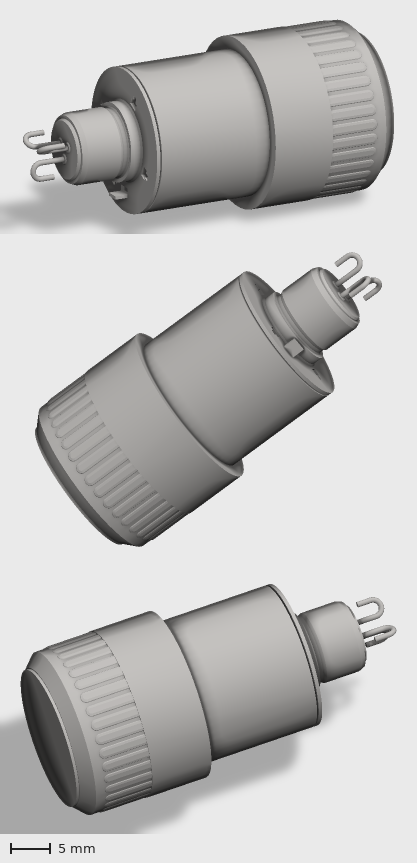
import cadquery as cq

cap_radius = 10.85
cap_length = 9.55
lip_radius = 9.15
lip_depth = 0.35
cone_start_radius = 9.3
cone_end_depth = 1.95

rib_count = 36
rib_root_width = 1.6
rib_crest_radius = 11.0
rib_front_depth = 3.13
rib_overrun = 0.95
rib_back_depth = cap_length + rib_overrun
rib_wall_slope = 40
rib_bevel_height = 0.1
rib_bevel_run = 0.25
rib_root_sink = 0.1
rib_root_radius = cap_radius - rib_root_sink

collar_radius = 11.1
collar_end_depth = 17.65
barrel_radius = 9.43
barrel_end_depth = 33.5
groove_radius = 8.5
groove_front_depth = 32.8
groove_width = 0.25

flange_radius = 5.15
flange_bevel = 0.25
flange_end_depth = 35.05
neck_radius = 4.45
neck_bevel = 0.2
neck_start_depth = flange_end_depth + neck_bevel
neck_end_depth = 35.75
plug_radius = 4.65
plug_start_depth = 36.15
nose_start_depth = 40.85
nose_end_depth = 41.55
nose_end_radius = 4.4
insert_radius = 3.95
insert_bevel_depth = 41.65
insert_end_radius = 3.8
insert_end_depth = 41.95

pin_count = 3
pin_first_angle = -90
wire_radius = 0.35
pin_circle_radius = 1.2
bend_radius = 1.05
pin_tip_depth = 46.65
bend_depth = pin_tip_depth - bend_radius - wire_radius
hook_end_depth = 43.45
pin_embedment = 0.45
pin_root_depth = insert_end_depth - pin_embedment
bead_root_radius = 0.75
bead_top_radius = 0.6
bead_height = 0.15

tab_width = 1.8
tab_thickness = 0.4
tab_bottom_z = -7.35
tab_end_depth = 35.2
slot_height = 1.25
recess_depth = 0.45
key_count = 4
key_first_angle = 65
key_inner_radius = 5.7
key_shoulder_radius = 6.65
key_outer_radius = 7.35
key_wide_width = 1.55
key_narrow_width = 0.75


def revolve_about_axis(points):
    """Revolve (radius, depth) points around the Y axis."""
    profile = [(radius, -depth) for radius, depth in points]
    return cq.Workplane("XY").polyline(profile).close().revolve(360, (0, 0, 0), (0, 1, 0))


def turn(shape, angle):
    """Rotate a shape around the Y axis, from +X toward +Z for positive angles."""
    return shape.rotate((0, 0, 0), (0, -1, 0), angle)


def plane_at(depth):
    """Plane at a depth behind the lens face, facing rearward with local y along Z."""
    return cq.Workplane(cq.Plane(origin=(0, -depth, 0), xDir=(1, 0, 0), normal=(0, -1, 0)))


def make_rib():
    """Rib on the +X side with sloped walls, a bevelled crest and a round front end.

    It runs past the back of the cap and is trimmed flush with it later.
    """
    half_width = rib_root_width / 2
    round_center = -(rib_front_depth + half_width)
    prism = (
        cq.Workplane("YZ", origin=(rib_root_radius, 0, 0))
        .moveTo(-rib_back_depth, -half_width)
        .lineTo(round_center, -half_width)
        .threePointArc((-rib_front_depth, 0), (round_center, half_width))
        .lineTo(-rib_back_depth, half_width)
        .close()
        .extrude(rib_crest_radius - rib_root_radius, taper=rib_wall_slope)
    )
    return prism.faces(">X").chamfer(rib_bevel_height, rib_bevel_run)


def make_cap():
    """Bevelled cap with a ring of grip ribs."""
    cap = revolve_about_axis([
        (0, 0),
        (lip_radius, 0),
        (lip_radius, lip_depth),
        (cone_start_radius, lip_depth),
        (cap_radius, cone_end_depth),
        (cap_radius, cap_length),
        (0, cap_length),
    ])
    pitch = 360 / rib_count
    rib = make_rib()
    ribs = [turn(rib, (i + 0.5) * pitch).val() for i in range(rib_count)]
    ribbed_cap = cq.Workplane(cap.val().fuse(*ribs))
    return ribbed_cap.intersect(plane_at(0).circle(collar_radius).extrude(cap_length))


def make_turned_housing():
    """Collar, grooved barrel and connector as one turned shape."""
    profile = [
        (0, cap_length),
        (collar_radius, cap_length),
        (collar_radius, collar_end_depth),
        (barrel_radius, collar_end_depth),
        (barrel_radius, groove_front_depth),
        (groove_radius, groove_front_depth),
        (groove_radius, groove_front_depth + groove_width),
        (barrel_radius, groove_front_depth + groove_width),
        (barrel_radius, barrel_end_depth),
        (flange_radius + flange_bevel, barrel_end_depth),
        (flange_radius, barrel_end_depth + flange_bevel),
        (flange_radius, flange_end_depth),
        (neck_radius + neck_bevel, flange_end_depth),
        (neck_radius, neck_start_depth),
        (neck_radius, neck_end_depth),
        (plug_radius, plug_start_depth),
        (plug_radius, nose_start_depth),
        (nose_end_radius, nose_end_depth),
        (insert_radius, nose_end_depth),
        (insert_radius, insert_bevel_depth),
        (insert_end_radius, insert_end_depth),
        (0, insert_end_depth),
    ]
    return revolve_about_axis(profile)


def make_pin():
    """J-shaped wire on the +X side, hooked outward, with a bead at its root."""
    inner_x = pin_circle_radius
    outer_x = inner_x + 2 * bend_radius
    path = (
        cq.Workplane("XY")
        .moveTo(inner_x, -pin_root_depth)
        .lineTo(inner_x, -bend_depth)
        .threePointArc((inner_x + bend_radius, -bend_depth - bend_radius), (outer_x, -bend_depth))
        .lineTo(outer_x, -hook_end_depth)
    )
    wire = plane_at(pin_root_depth).center(inner_x, 0).circle(wire_radius).sweep(path)
    bead = (
        plane_at(insert_end_depth)
        .center(inner_x, 0)
        .circle(bead_root_radius)
        .workplane(offset=bead_height)
        .circle(bead_top_radius)
        .loft()
    )
    return wire.union(bead)


def make_key_recess():
    """Stepped recess on the +X side, wide toward the axis."""
    wide_half = key_wide_width / 2
    narrow_half = key_narrow_width / 2
    outline = [
        (key_inner_radius, -wide_half),
        (key_shoulder_radius, -wide_half),
        (key_shoulder_radius, -narrow_half),
        (key_outer_radius, -narrow_half),
        (key_outer_radius, narrow_half),
        (key_shoulder_radius, narrow_half),
        (key_shoulder_radius, wide_half),
        (key_inner_radius, wide_half),
    ]
    return plane_at(barrel_end_depth).polyline(outline).close().extrude(-recess_depth)


def make_tab_slot():
    """Rectangular recess that holds the locating tab at its lower side."""
    center_z = tab_bottom_z + slot_height / 2
    return plane_at(barrel_end_depth).center(0, center_z).rect(tab_width, slot_height).extrude(-recess_depth)


def make_tab():
    """Flat locating tab rising from the slot floor."""
    floor_depth = barrel_end_depth - recess_depth
    center_z = tab_bottom_z + tab_thickness / 2
    return (
        plane_at(floor_depth)
        .center(0, center_z)
        .rect(tab_width, tab_thickness)
        .extrude(tab_end_depth - floor_depth)
    )


def make_housing():
    """Housing with its rear recesses, locating tab and solder pins."""
    housing = make_turned_housing().cut(make_tab_slot()).union(make_tab())
    key_recess = make_key_recess()
    for i in range(key_count):
        housing = housing.cut(turn(key_recess, key_first_angle + i * 360 / key_count))
    pin = make_pin()
    for i in range(pin_count):
        housing = housing.union(turn(pin, pin_first_angle + i * 360 / pin_count))
    return housing


cap = make_cap()
housing = make_housing()
result = cq.Compound.makeCompound([cap.solids().val(), housing.solids().val()])